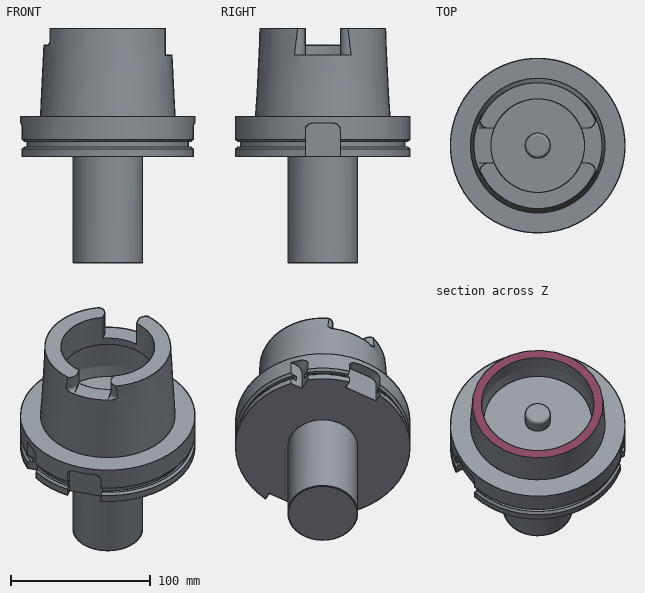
import cadquery as cq
import math

total_height = 167.9
taper_length = 63.0
flange_thickness = 28.9
flange_top = total_height - taper_length
flange_bottom = flange_top - flange_thickness

shank_diameter = 50.0
shank_chamfer = 0.5

flange_diameter = 125.0
groove_diameter = 117.9
groove_depth_below_face = 20.0
groove_mouth_width = 6.9
groove_floor_width = 3.9
groove_lip_diameter = 121.2

taper_base_diameter = 96.4
taper_ratio = 0.1
taper_top_diameter = taper_base_diameter - taper_ratio * taper_length
bore_diameter = 67.0
bore_lip_depth = 24.8
undercut_diameter = 80.1
undercut_cylinder_end = 50.2
undercut_cone_height = 8.4
undercut_cone_angle = 10.0
nozzle_diameter = 18.0
nozzle_height = 10.0
nozzle_tip_radius = 2.0

slot_width = 25.0
shallow_slot_depth = 12.1
deep_slot_depth = 19.1
slot_corner_radius = 6.0
slot_shoulder_x = 41.3
slot_foot_radius = 2.7

rim_slot_floor = 55.5
rim_slot_top = flange_top - 4.9
rim_slot_radius = 5.0
notch_offset = 39.5

reach = flange_diameter / 2 + 1.7


def disc(diameter, bottom, top):
    return cq.Workplane("XY").workplane(offset=bottom).circle(diameter / 2).extrude(top - bottom)


def box(x_range, y_range, z_range):
    size = [high - low for low, high in (x_range, y_range, z_range)]
    corner = (x_range[0], y_range[0], z_range[0])
    return cq.Workplane("XY").box(*size, centered=False).translate(corner)


def make_body():
    """Shank, grooved flange and taper as one turned profile."""
    groove_center = flange_top - groove_depth_below_face
    half_mouth = groove_mouth_width / 2
    half_floor = groove_floor_width / 2
    shank_radius = shank_diameter / 2
    flange_radius = flange_diameter / 2
    groove_radius = groove_diameter / 2
    lip_radius = groove_lip_diameter / 2
    profile = [
        (0, 0),
        (shank_radius - shank_chamfer, 0),
        (shank_radius, shank_chamfer),
        (shank_radius, flange_bottom),
        (flange_radius, flange_bottom),
        (flange_radius, groove_center - half_mouth),
        (lip_radius, groove_center - half_floor),
        (groove_radius, groove_center - half_floor),
        (groove_radius, groove_center + half_floor),
        (lip_radius, groove_center + half_floor),
        (flange_radius, groove_center + half_mouth),
        (flange_radius, flange_top),
        (taper_base_diameter / 2, flange_top),
        (taper_top_diameter / 2, total_height),
        (0, total_height),
    ]
    return cq.Workplane("XZ").polyline(profile).close().revolve(360, (0, 0), (0, 1))


def make_cavity():
    """Bore with a wider undercut, a steep cone to the floor and a round-tipped nozzle on it."""
    lip = total_height - bore_lip_depth
    cone_top = total_height - undercut_cylinder_end
    floor = cone_top - undercut_cone_height
    bore = disc(bore_diameter, lip, total_height)
    undercut = disc(undercut_diameter, cone_top, lip)
    cone = (
        cq.Workplane("XY")
        .workplane(offset=cone_top)
        .circle(undercut_diameter / 2)
        .extrude(-undercut_cone_height, taper=undercut_cone_angle)
    )
    nozzle = disc(nozzle_diameter, floor, floor + nozzle_height)
    nozzle = nozzle.faces(">Z").edges().fillet(nozzle_tip_radius)
    return bore.union(undercut).union(cone).cut(nozzle)


def make_slot_flare(floor, foot_radius):
    """Outward widening of a +X drive slot on its +Y side, round the corner of the wall."""
    half_width = slot_width / 2
    corner_x = slot_shoulder_x - slot_corner_radius
    corner_y = half_width + slot_corner_radius
    diagonal = slot_corner_radius * math.sqrt(0.5)
    inner_x = bore_diameter / 4
    margin = 1.7
    flare = (
        cq.Workplane("XY")
        .workplane(offset=floor)
        .moveTo(inner_x, 0)
        .lineTo(inner_x, half_width)
        .lineTo(corner_x, half_width)
        .threePointArc((corner_x + diagonal, corner_y - diagonal), (slot_shoulder_x, corner_y))
        .lineTo(slot_shoulder_x, reach)
        .lineTo(reach, reach)
        .lineTo(reach, 0)
        .close()
        .extrude(total_height - floor)
    )
    if foot_radius > 0:
        wall_box = cq.selectors.BoxSelector(
            (inner_x + margin, half_width - margin, floor - margin),
            (slot_shoulder_x + margin, reach - margin, floor + margin),
        )
        flare = flare.edges(wall_box).fillet(foot_radius)
    return flare.intersect(box((0, reach), (half_width, reach), (floor, total_height)))


def make_drive_slot(depth, foot_radius):
    """Drive slot opening toward +X, from the axis outward."""
    floor = total_height - depth
    slot = box((0, reach), (-slot_width / 2, slot_width / 2), (floor, total_height))
    flare = make_slot_flare(floor, foot_radius)
    return slot.union(flare).union(flare.mirror("XZ"))


def make_rim_slot():
    """Slot in the flange rim on the +X side, open at the lower face."""
    slot = box(
        (rim_slot_floor, reach),
        (-slot_width / 2, slot_width / 2),
        (flange_bottom, rim_slot_top),
    )
    return slot.edges("|X and >Z").fillet(rim_slot_radius)


def make_orientation_notch():
    """Right-angled notch in the rim between the -X and +Y sides."""
    notch = box((-reach, -notch_offset), (notch_offset, reach), (flange_bottom, rim_slot_top))
    return notch.edges("|X and >Z and <Y").fillet(rim_slot_radius)


rim_slot = make_rim_slot()
result = (
    make_body()
    .cut(make_cavity())
    .cut(make_drive_slot(deep_slot_depth, 0))
    .cut(make_drive_slot(shallow_slot_depth, slot_foot_radius).mirror("YZ"))
    .cut(rim_slot)
    .cut(rim_slot.mirror("YZ"))
    .cut(make_orientation_notch())
)